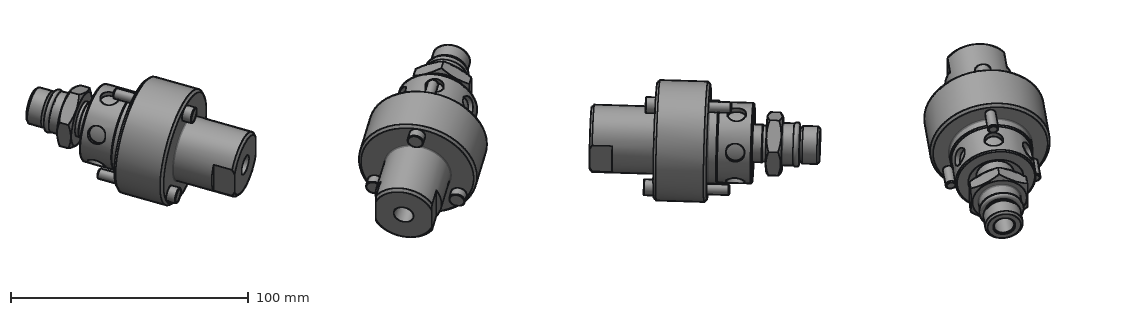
import cadquery as cq
import math

OVERALL_LENGTH = 96.5

BORE_DIAMETER = 8.5
BORE_CHAMFER = 0.5
STUB_DIAMETER = 16.0
STUB_TIP_CHAMFER = 1.0
STUB_TAPER_START = 7.1
GROOVE_DIAMETER = 13.9
STUB_TAPER_END = STUB_TAPER_START + (STUB_DIAMETER - GROOVE_DIAMETER) / 2
RING_OUTER_DIAMETER = 18.8
RING_SECTION_RADIUS = 1.3
RING_CENTRE_X = 9.7
COLLAR_DIAMETER = 17.9
COLLAR_START = RING_CENTRE_X + RING_SECTION_RADIUS
COLLAR_FILLET = 0.3
HEX_START = 15.7
HEX_END = 22.4
HEX_ACROSS_FLATS = 24.0
HEX_FRONT_FACE_DIAMETER = 23.0
HEX_REAR_FACE_DIAMETER = 23.4
HEX_CHAMFER_ANGLE = 30.0
NECK_DIAMETER = 15.3
NECK_END = 23.9
NECK_CHAMFER = (STUB_DIAMETER - NECK_DIAMETER) / 2

HOUSING_START = 28.0
RECESS_DIAMETER = 23.4
RECESS_DEPTH = 3.1
ROTOR_END = HOUSING_START + RECESS_DEPTH
NOSE_DIAMETER = 34.1
NOSE_CHAMFER = 0.6
STEP_DIAMETER = 35.1
STEP_START = 42.45
STEP_CHAMFER_LENGTH = 0.6
FLANGE_DIAMETER = 50.8
FLANGE_ROOT_FILLET = 0.3
FLANGE_START = 46.8
FLANGE_END = 69.2
FLANGE_CHAMFER = 1.2
TAIL_DIAMETER = 28.5
TAIL_CHAMFER = 1.2
TAIL_FLATS_WIDTH = 24.0
TAIL_FLATS_START = 86.9

RADIAL_HOLE_COUNT = 6
RADIAL_HOLE_DIAMETER = 7.9
RADIAL_HOLE_X = 35.0
RADIAL_HOLE_FLOOR_DIAMETER = 29.5

SCREW_COUNT = 3
SCREW_CIRCLE_RADIUS = 20.6
SCREW_DIAMETER = 4.5
SCREW_TIP_X = 37.2
SCREW_TIP_CHAMFER = 0.5
SCREW_HEAD_DIAMETER = 6.85
SCREW_HEAD_END = 73.3
SCREW_HEAD_CHAMFER = 0.3


def cylinder(diameter, start, end):
    """Cylinder on the X axis from x = start to x = end."""
    return cq.Workplane("YZ", origin=(start, 0, 0)).circle(diameter / 2).extrude(end - start)


def revolve_about_x(profile):
    """Turn a closed XY profile about the X axis."""
    return profile.close().revolve(360, (0, 0, 0), (1, 0, 0))


def hexagon():
    """Hexagon with corners on the Z axis, chamfered by a cone at both ends."""
    corner_radius = HEX_ACROSS_FLATS / 2 / math.cos(math.pi / 6)
    prism = (
        cq.Workplane("YZ", origin=(HEX_START, 0, 0))
        .polygon(6, 2 * corner_radius)
        .extrude(HEX_END - HEX_START)
        .rotate((0, 0, 0), (1, 0, 0), 90)
    )
    front_radius = HEX_FRONT_FACE_DIAMETER / 2
    rear_radius = HEX_REAR_FACE_DIAMETER / 2
    slope = math.tan(math.radians(HEX_CHAMFER_ANGLE))
    envelope = revolve_about_x(
        cq.Workplane("XY")
        .moveTo(HEX_START, 0)
        .lineTo(HEX_START, front_radius)
        .lineTo(HEX_START + (corner_radius - front_radius) * slope, corner_radius)
        .lineTo(HEX_END - (corner_radius - rear_radius) * slope, corner_radius)
        .lineTo(HEX_END, rear_radius)
        .lineTo(HEX_END, 0)
    )
    return prism.intersect(envelope)


def sealing_ring():
    """Round ring pressed slightly into the groove floor ahead of the collar."""
    ring_radius = RING_OUTER_DIAMETER / 2 - RING_SECTION_RADIUS
    section = cq.Workplane("XY").center(RING_CENTRE_X, ring_radius).circle(RING_SECTION_RADIUS)
    return section.revolve(360, (0, -ring_radius, 0), (1, -ring_radius, 0))


def make_rotor():
    """Stub, sealing ring, collar, hexagon and shaft, with a through bore."""
    stub_radius = STUB_DIAMETER / 2
    groove_radius = GROOVE_DIAMETER / 2
    neck_radius = NECK_DIAMETER / 2
    collar_radius = COLLAR_DIAMETER / 2
    shaft = revolve_about_x(
        cq.Workplane("XY")
        .lineTo(0, stub_radius - STUB_TIP_CHAMFER)
        .lineTo(STUB_TIP_CHAMFER, stub_radius)
        .lineTo(STUB_TAPER_START, stub_radius)
        .lineTo(STUB_TAPER_END, groove_radius)
        .lineTo(COLLAR_START, groove_radius)
        .lineTo(COLLAR_START, collar_radius)
        .lineTo(HEX_START - COLLAR_FILLET, collar_radius)
        .radiusArc((HEX_START, collar_radius + COLLAR_FILLET), -COLLAR_FILLET)
        .lineTo(HEX_START, neck_radius)
        .lineTo(NECK_END, neck_radius)
        .lineTo(NECK_END + NECK_CHAMFER, stub_radius)
        .lineTo(ROTOR_END, stub_radius)
        .lineTo(ROTOR_END, 0)
    )
    rotor = shaft.union(hexagon()).union(sealing_ring())
    rotor = rotor.cut(cylinder(BORE_DIAMETER, 0, ROTOR_END))
    bore_rim = rotor.faces("<X").edges(cq.selectors.RadiusNthSelector(0))
    return bore_rim.chamfer(BORE_CHAMFER)


def housing_body():
    """Turned outside of the housing with the front recess and the through bore."""
    nose_radius = NOSE_DIAMETER / 2
    step_radius = STEP_DIAMETER / 2
    flange_radius = FLANGE_DIAMETER / 2
    tail_radius = TAIL_DIAMETER / 2
    body = revolve_about_x(
        cq.Workplane("XY")
        .moveTo(HOUSING_START, 0)
        .lineTo(HOUSING_START, nose_radius - NOSE_CHAMFER)
        .lineTo(HOUSING_START + NOSE_CHAMFER, nose_radius)
        .lineTo(STEP_START, nose_radius)
        .lineTo(STEP_START + STEP_CHAMFER_LENGTH, step_radius)
        .lineTo(FLANGE_START - FLANGE_ROOT_FILLET, step_radius)
        .radiusArc((FLANGE_START, step_radius + FLANGE_ROOT_FILLET), -FLANGE_ROOT_FILLET)
        .lineTo(FLANGE_START, flange_radius - FLANGE_CHAMFER)
        .lineTo(FLANGE_START + FLANGE_CHAMFER, flange_radius)
        .lineTo(FLANGE_END - FLANGE_CHAMFER, flange_radius)
        .lineTo(FLANGE_END, flange_radius - FLANGE_CHAMFER)
        .lineTo(FLANGE_END, tail_radius + FLANGE_ROOT_FILLET)
        .radiusArc((FLANGE_END + FLANGE_ROOT_FILLET, tail_radius), -FLANGE_ROOT_FILLET)
        .lineTo(OVERALL_LENGTH - TAIL_CHAMFER, tail_radius)
        .lineTo(OVERALL_LENGTH, tail_radius - TAIL_CHAMFER)
        .lineTo(OVERALL_LENGTH, 0)
    )
    recess = cylinder(RECESS_DIAMETER, HOUSING_START, ROTOR_END)
    return body.cut(recess).cut(cylinder(BORE_DIAMETER, HOUSING_START, OVERALL_LENGTH))


def radial_holes():
    """Blind holes around the nose, all ending on one cylindrical floor."""
    holes = cq.Workplane("XY")
    for index in range(RADIAL_HOLE_COUNT):
        drill = (
            cq.Workplane("XY", origin=(RADIAL_HOLE_X, 0, 0))
            .circle(RADIAL_HOLE_DIAMETER / 2)
            .extrude(NOSE_DIAMETER)
            .rotate((0, 0, 0), (1, 0, 0), index * 360 / RADIAL_HOLE_COUNT)
        )
        holes = holes.add(drill)
    core = cylinder(RADIAL_HOLE_FLOOR_DIAMETER, HOUSING_START, STEP_START)
    return holes.combine().cut(core)


def tail_flats():
    """Material removed to leave two wrench flats facing -Y and +Y."""
    length = OVERALL_LENGTH - TAIL_FLATS_START
    blank = cq.Workplane("XY").box(length, TAIL_DIAMETER, TAIL_DIAMETER)
    kept = cq.Workplane("XY").box(length, TAIL_FLATS_WIDTH, TAIL_DIAMETER)
    return blank.cut(kept).translate((TAIL_FLATS_START + length / 2, 0, 0))


def screw(index):
    """One screw, part of the housing: tip ahead of the flange, head behind it."""
    shank = cylinder(SCREW_DIAMETER, SCREW_TIP_X, FLANGE_END)
    shank = shank.faces("<X").chamfer(SCREW_TIP_CHAMFER)
    head = cylinder(SCREW_HEAD_DIAMETER, FLANGE_END, SCREW_HEAD_END)
    head = head.faces(">X").chamfer(SCREW_HEAD_CHAMFER)
    placed = shank.union(head).translate((0, 0, SCREW_CIRCLE_RADIUS))
    return placed.rotate((0, 0, 0), (1, 0, 0), index * 360 / SCREW_COUNT)


def make_housing():
    """Housing with its radial holes, wrench flats and screws."""
    housing = housing_body().cut(radial_holes()).cut(tail_flats())
    for index in range(SCREW_COUNT):
        housing = housing.union(screw(index))
    return housing


rotor = make_rotor()
housing = make_housing()
result = cq.Compound.makeCompound([rotor.val(), housing.val()])